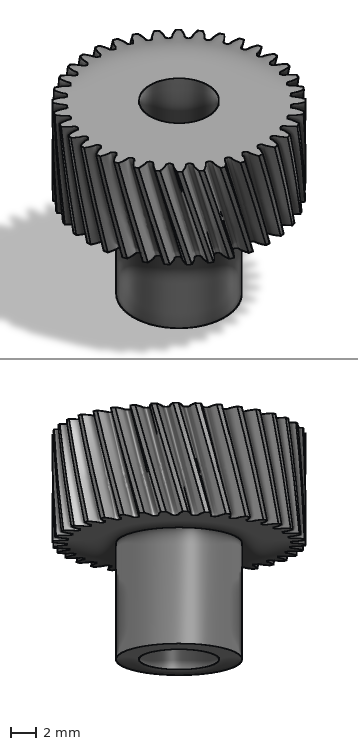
import cadquery as cq
import math

TOOTH_COUNT = 36
PITCH_DIAMETER = 19.05
TIP_DIAMETER = 20.07
TOOTH_DEPTH = 1.16
FLANK_START_HEIGHT = 0.16
PRESSURE_ANGLE = 20.0
HELIX_ANGLE = 15.0
OVERALL_HEIGHT = 18.4
GEAR_WIDTH = 8.9
HUB_DIAMETER = 10.0
BORE_DIAMETER = 6.35
FLANK_SAMPLES = 5

pitch_radius = PITCH_DIAMETER / 2
tip_radius = TIP_DIAMETER / 2
root_radius = tip_radius - TOOTH_DEPTH
flank_start_radius = root_radius + FLANK_START_HEIGHT
base_radius = pitch_radius * math.cos(math.radians(PRESSURE_ANGLE))
hub_height = OVERALL_HEIGHT - GEAR_WIDTH
tooth_step = 2 * math.pi / TOOTH_COUNT
twist = -GEAR_WIDTH * math.tan(math.radians(HELIX_ANGLE)) / pitch_radius


def polar(radius, angle):
    return (radius * math.cos(angle), radius * math.sin(angle))


def involute(angle):
    return math.tan(angle) - angle


def gap_half_angle(radius):
    """Half the angle spanned by a tooth gap at the given radius."""
    roll = math.acos(base_radius / radius)
    return tooth_step / 4 - involute(math.radians(PRESSURE_ANGLE)) + involute(roll)


def gap_flank(center, side):
    """Involute flank from rounded root to tip circle; side is -1 or +1."""
    radial_step = (tip_radius - flank_start_radius) / (FLANK_SAMPLES - 1)
    radii = [flank_start_radius + i * radial_step for i in range(FLANK_SAMPLES)]
    return [polar(r, center + side * gap_half_angle(r)) for r in radii]


def gear_outline(first_gap):
    """Closed tooth outline with one gap centred on the angle first_gap."""
    outline = cq.Workplane("XY").workplane(offset=hub_height)
    outline = outline.moveTo(*gap_flank(first_gap, -1)[-1])
    for i in range(TOOTH_COUNT):
        gap = first_gap + i * tooth_step
        inward_flank = gap_flank(gap, -1)[::-1]
        outward_flank = gap_flank(gap, 1)
        next_tip = gap_flank(gap + tooth_step, -1)[-1]
        gap_curve = inward_flank + [polar(root_radius, gap)] + outward_flank
        outline = outline.spline(gap_curve[1:], includeCurrent=True)
        outline = outline.threePointArc(polar(tip_radius, gap + tooth_step / 2), next_tip)
    return outline.close()


def helical_gear():
    return gear_outline(-twist).twistExtrude(GEAR_WIDTH, math.degrees(twist))


def hub():
    return cq.Workplane("XY").circle(HUB_DIAMETER / 2).extrude(hub_height)


def bore():
    return cq.Workplane("XY").circle(BORE_DIAMETER / 2).extrude(OVERALL_HEIGHT)


result = helical_gear().union(hub()).cut(bore())